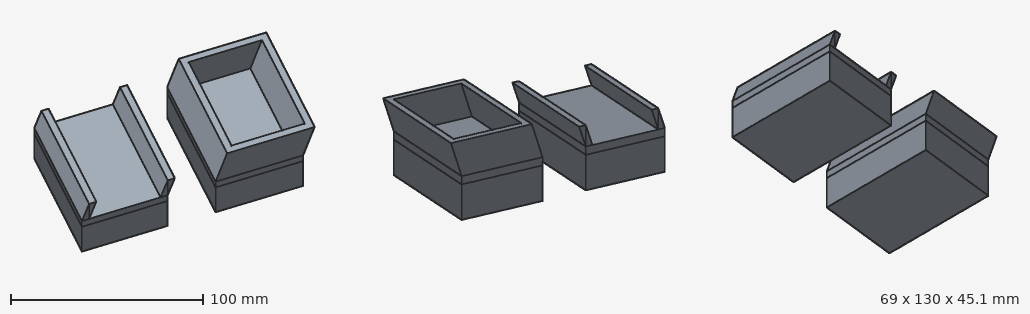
import cadquery as cq

overall_length = 130.0
block_height = 20.2
plate_height = 4.7
wall = 4.0

tub_width = 69.0
tub_depth = 49.0
tub_height = 20.2
tub_lean = 6.5

lid_width = 68.0
lid_depth = 48.0
lip_height = 12.1
lip_lean = wall

plate_top = block_height + plate_height
lid_front = 0.0
tub_front = lid_front + overall_length - tub_depth - tub_lean


def make_slab(width, depth, height, front, bottom):
    """Rectangular slab centred on X, starting at the given front and bottom."""
    return (
        cq.Workplane("XY")
        .box(width, depth, height, centered=(True, False, False))
        .translate((0, front, bottom))
    )


def make_prism(width, outline):
    """Extrude a closed (Y, Z) outline along X, centred on X."""
    return cq.Workplane("YZ").polyline(outline).close().extrude(width / 2, both=True)


def make_leaning_block(width, front, back):
    """Block from the plate top to the tub rim that leans towards +Y."""
    rim = plate_top + tub_height
    outline = [
        (front, plate_top),
        (back, plate_top),
        (back + tub_lean, rim),
        (front + tub_lean, rim),
    ]
    return make_prism(width, outline)


def make_block(width, depth, front):
    """Lower block of a box."""
    return make_slab(width, depth, block_height, front, 0)


def make_plate(width, depth, front):
    """Thin plate resting on a lower block."""
    return make_slab(width, depth, plate_height, front, block_height)


def make_tub_frame():
    """Leaning four-sided frame, open at the top and closed below by the plate."""
    tub_back = tub_front + tub_depth
    outside = make_leaning_block(tub_width, tub_front, tub_back)
    cavity = make_leaning_block(tub_width - 2 * wall, tub_front + wall, tub_back - wall)
    return outside.cut(cavity)


def make_foot_wedge(lip_front):
    """Half of a lip that rests on the plate and tapers to an edge at the top."""
    lip_back = lip_front + wall
    outline = [
        (lip_front, plate_top),
        (lip_back, plate_top),
        (lip_back, plate_top + lip_height),
    ]
    return make_prism(lid_width, outline)


def make_overhang_wedge(lip_front):
    """Half of a lip that is widest at the top and tapers to an edge at the plate."""
    lip_back = lip_front + wall
    lip_top = plate_top + lip_height
    outline = [
        (lip_back, plate_top),
        (lip_back + lip_lean, lip_top),
        (lip_back, lip_top),
    ]
    return make_prism(lid_width, outline)


tub_block = make_block(tub_width, tub_depth, tub_front)
tub_plate = make_plate(tub_width, tub_depth, tub_front)
tub_frame = make_tub_frame()

lid_block = make_block(lid_width, lid_depth, lid_front)
lid_plate = make_plate(lid_width, lid_depth, lid_front)

lip_fronts = [lid_front, lid_front + lid_depth - wall]
foot_wedges = [make_foot_wedge(lip_front) for lip_front in lip_fronts]
overhang_wedges = [make_overhang_wedge(lip_front) for lip_front in lip_fronts]

bodies = [
    tub_block,
    tub_plate,
    tub_frame,
    lid_block,
    lid_plate,
    *foot_wedges,
    *overhang_wedges,
]
result = cq.Compound.makeCompound([body.val() for body in bodies])